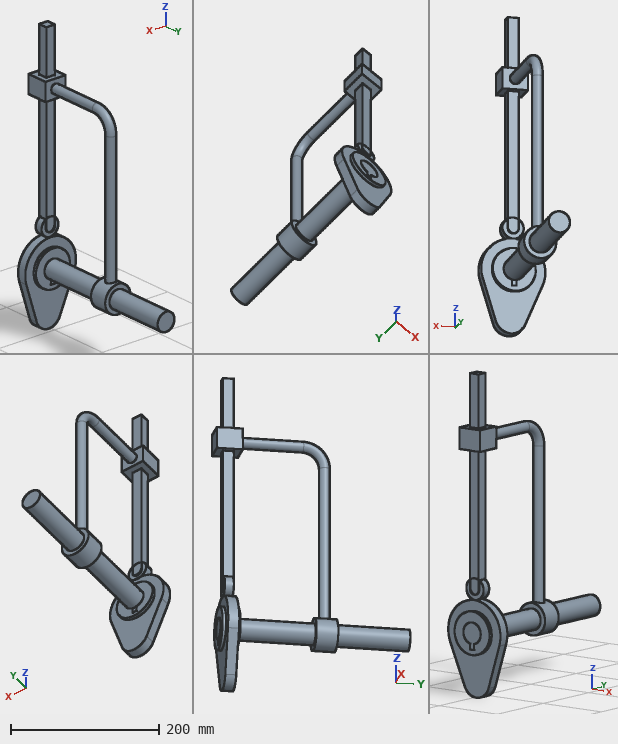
import cadquery as cq
import math


SHAFT_DIAMETER = 30.0
SHAFT_BACK_Y = 249.0
KEY_WIDTH = 6.5
KEY_TIP = 22.5

CAM_RADIUS = 45.0
CAM_THICKNESS = 15.0
CAM_BOTTOM = 89.0
NOSE_RADIUS = 22.0
NOSE_X = 3.5
NOSE_Z = NOSE_RADIUS - CAM_BOTTOM
HUB_DIAMETER = 60.0
HUB_LENGTH = 25.0

ROLLER_DIAMETER = 30.0
ROLLER_WIDTH = 12.5
ROLLER_Z = CAM_RADIUS + ROLLER_DIAMETER / 2
ROD_SIDE = 15.0
ROD_TOP = 356.0

COLLAR_DIAMETER = 45.0
COLLAR_LENGTH = 30.0
ARM_DIAMETER = 15.0
ARM_Y = 133.5
ARM_Z = 267.0
BEND_RADIUS = 30.0
BLOCK_SIDE = 35.5
BLOCK_HEIGHT = 30.0


def cylinder_y(diameter, y_start, y_end, z=0):
    """Cylinder parallel to Y, centred on X = 0 at height z."""
    start = cq.Vector(0, y_start, z)
    return cq.Workplane(cq.Solid.makeCylinder(diameter / 2, y_end - y_start, start, cq.Vector(0, 1, 0)))


def make_shaft():
    """Round shaft with a downward key along the length of the cam hub."""
    shaft = cylinder_y(SHAFT_DIAMETER, -HUB_LENGTH / 2, SHAFT_BACK_Y)
    key = cq.Workplane().box(KEY_WIDTH, HUB_LENGTH, KEY_TIP).translate((0, 0, -KEY_TIP / 2))
    return shaft.union(key)


def make_cam(shaft):
    """Base circle joined to an offset nose by two tangent flanks, with a hub and a keyed bore."""
    axis_angle = math.atan2(NOSE_Z, NOSE_X)
    spread = math.acos((CAM_RADIUS - NOSE_RADIUS) / math.hypot(NOSE_X, NOSE_Z))

    def flank_point(side, radius, x=0, z=0):
        angle = axis_angle + side * spread
        return (x + radius * math.cos(angle), z + radius * math.sin(angle))

    left, right = -1, 1
    plate = (
        cq.Workplane("XZ", origin=(0, CAM_THICKNESS / 2, 0))
        .moveTo(*flank_point(left, CAM_RADIUS))
        .threePointArc((0, CAM_RADIUS), flank_point(right, CAM_RADIUS))
        .lineTo(*flank_point(right, NOSE_RADIUS, NOSE_X, NOSE_Z))
        .threePointArc((NOSE_X, -CAM_BOTTOM), flank_point(left, NOSE_RADIUS, NOSE_X, NOSE_Z))
        .close()
        .extrude(CAM_THICKNESS)
    )
    hub = cylinder_y(HUB_DIAMETER, -HUB_LENGTH / 2, HUB_LENGTH / 2)
    return plate.union(hub).cut(shaft)


def make_roller():
    """Plain roller resting on top of the cam."""
    return cylinder_y(ROLLER_DIAMETER, -ROLLER_WIDTH / 2, ROLLER_WIDTH / 2, ROLLER_Z)


def make_rod(roller):
    """Square rod with a rounded lower end, recessed to hold the roller between two cheeks."""
    length = ROD_TOP - ROLLER_Z
    rod = cq.Workplane().box(ROD_SIDE, ROD_SIDE, length).translate((0, 0, ROLLER_Z + length / 2))
    rounded_end = cylinder_y(ROD_SIDE, -ROD_SIDE / 2, ROD_SIDE / 2, ROLLER_Z)
    return rod.union(rounded_end).cut(roller)


def make_collar(shaft):
    """Ring around the shaft that carries the arm."""
    collar = cylinder_y(COLLAR_DIAMETER, ARM_Y - COLLAR_LENGTH / 2, ARM_Y + COLLAR_LENGTH / 2)
    return collar.cut(shaft)


def make_arm():
    """Round bar rising from the collar and bending forward to the guide block."""
    bend_y = ARM_Y - BEND_RADIUS
    bend_z = ARM_Z - BEND_RADIUS
    diagonal = BEND_RADIUS * math.sqrt(0.5)
    path = (
        cq.Workplane("YZ")
        .moveTo(ARM_Y, 0)
        .lineTo(ARM_Y, bend_z)
        .threePointArc((bend_y + diagonal, bend_z + diagonal), (bend_y, ARM_Z))
        .lineTo(BLOCK_SIDE / 2, ARM_Z)
    )
    bar = cq.Workplane("XY", origin=(0, ARM_Y, 0)).circle(ARM_DIAMETER / 2).sweep(path)
    collar_envelope = cylinder_y(COLLAR_DIAMETER, ARM_Y - COLLAR_LENGTH / 2, ARM_Y + COLLAR_LENGTH / 2)
    return bar.cut(collar_envelope)


def make_guide_block(rod):
    """Block with a square hole in which the rod slides."""
    return cq.Workplane().box(BLOCK_SIDE, BLOCK_SIDE, BLOCK_HEIGHT).translate((0, 0, ARM_Z)).cut(rod)


shaft = make_shaft()
cam = make_cam(shaft)
roller = make_roller()
rod = make_rod(roller)
collar = make_collar(shaft)
arm = make_arm()
guide_block = make_guide_block(rod)

bodies = [shaft, cam, roller, rod, collar, arm, guide_block]
result = cq.Compound.makeCompound([body.solids().val() for body in bodies])